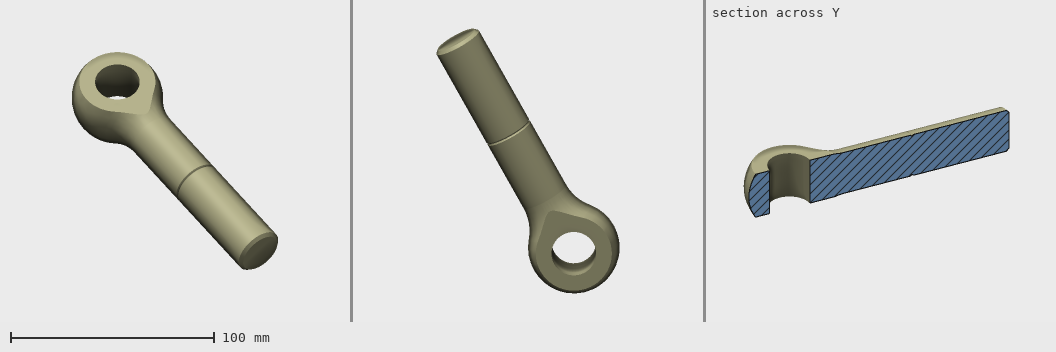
import cadquery as cq
import math

total_length = 142.4
ball_radius = 22.5
eye_thickness = 25.0
hole_diameter = 22.0
shank_radius = 12.0
neck_end_x = 29.6
groove_x = 66.8
groove_width = 1.4
groove_depth = 0.7
end_chamfer = 1.5

shank_end_x = total_length - ball_radius

blend_radius = (neck_end_x**2 + shank_radius**2 - ball_radius**2) / (2 * (ball_radius - shank_radius))
blend_center_y = shank_radius + blend_radius
center_distance = ball_radius + blend_radius
neck_start = (
    ball_radius * neck_end_x / center_distance,
    ball_radius * blend_center_y / center_distance,
)
half_sweep = math.atan2(neck_end_x, blend_center_y) / 2
neck_middle = (
    neck_end_x - blend_radius * math.sin(half_sweep),
    blend_center_y - blend_radius * math.cos(half_sweep),
)

body = (
    cq.Workplane("XY")
    .moveTo(-ball_radius, 0)
    .threePointArc((0, ball_radius), neck_start)
    .threePointArc(neck_middle, (neck_end_x, shank_radius))
    .lineTo(groove_x - groove_width / 2, shank_radius)
    .lineTo(groove_x, shank_radius - groove_depth)
    .lineTo(groove_x + groove_width / 2, shank_radius)
    .lineTo(shank_end_x - end_chamfer, shank_radius)
    .lineTo(shank_end_x, shank_radius - end_chamfer)
    .lineTo(shank_end_x, 0)
    .close()
    .revolve(360, (0, 0, 0), (1, 0, 0))
)

flat_envelope = cq.Workplane("XY").box(2 * total_length, 2 * total_length, eye_thickness)
body = body.intersect(flat_envelope)

hole = cq.Workplane("XY").circle(hole_diameter / 2).extrude(eye_thickness, both=True)
result = body.cut(hole)